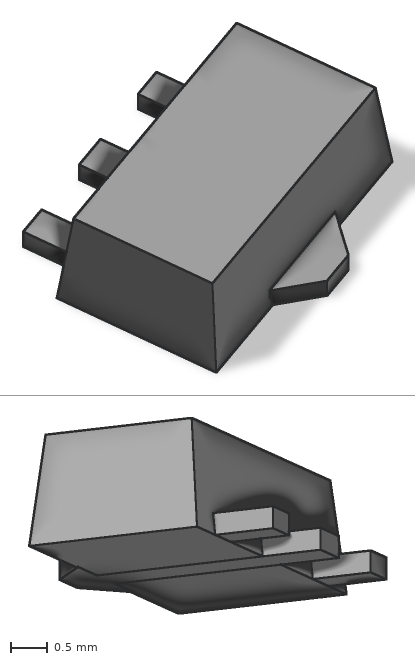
import cadquery as cq
import math

housing_length = 4.6
housing_width = 2.605
housing_height = 1.6
draft_angle = 6.0

metal_thickness = 0.315
lead_reach = 0.895
outer_lead_width = 0.485
center_lead_width = 0.56
lead_pitch = 1.5
tab_reach = 0.547

housing_edge = housing_width / 2
lead_tip = -housing_edge - lead_reach
tab_tip = housing_edge + tab_reach
tab_root = housing_edge - metal_thickness * math.tan(math.radians(draft_angle))
center_half_width = center_lead_width / 2
tab_root_half_width = center_half_width + tab_tip - tab_root


def make_housing_block():
    """Tapered block before the channel for the center lead is cut."""
    return (
        cq.Workplane("XY")
        .rect(housing_width, housing_length)
        .extrude(housing_height, taper=draft_angle)
    )


def make_center_lead():
    """Strip that runs under the whole housing and flares into the tab."""
    return (
        cq.Workplane("XY")
        .moveTo(lead_tip, -center_half_width)
        .lineTo(tab_root, -center_half_width)
        .lineTo(tab_root, -tab_root_half_width)
        .lineTo(tab_tip, -center_half_width)
        .lineTo(tab_tip, center_half_width)
        .lineTo(tab_root, tab_root_half_width)
        .lineTo(tab_root, center_half_width)
        .lineTo(lead_tip, center_half_width)
        .close()
        .extrude(metal_thickness)
    )


def make_outer_lead(y_center, housing_block):
    """Straight lead whose inner end follows the sloping housing wall."""
    bar_length = abs(lead_tip)
    bar = (
        cq.Workplane("XY")
        .center(-bar_length / 2, y_center)
        .rect(bar_length, outer_lead_width)
        .extrude(metal_thickness)
    )
    return bar.cut(housing_block).solids().val()


housing_block = make_housing_block()
center_lead = make_center_lead()
housing = housing_block.cut(center_lead)

outer_leads = []
for side in (-1, 1):
    outer_leads.append(make_outer_lead(side * lead_pitch, housing_block))

result = cq.Compound.makeCompound(
    [*housing.solids().vals(), center_lead.val(), *outer_leads]
)